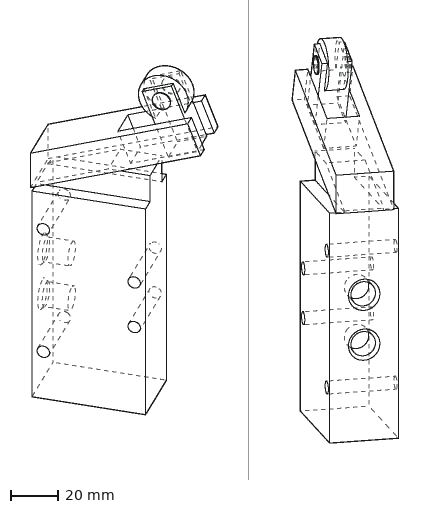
import cadquery as cq
import math

HOUSING_LENGTH = 50.0
HOUSING_WIDTH = 30.0
HOUSING_HEIGHT = 101.0

MOUNT_DIAMETER = 5.5
MOUNT_EDGE = 5.0
OUTER_MOUNT_HEIGHTS = (23.0, 83.0)

PORT_HEIGHTS = (42.2, 64.0)
PORT_DIAMETER = 10.6
PORT_MOUTH_DIAMETER = 13.7
PORT_CHAMFER = (PORT_MOUTH_DIAMETER - PORT_DIAMETER) / 2
PORT_DEPTH = 12.9

LEVER_ANGLE = 21.0
LEVER_WIDTH = 25.1
LEVER_THICKNESS = 15.8
LEVER_OVERHANG = 1.5
LEVER_REACH = 75.0
WEDGE_TOP = 113.7
WEDGE_WIDTH = 17.0

SLOT_WIDTH = 14.2
SLOT_START = 35.4

TOTAL_HEIGHT = 161.0
ROLLER_DIAMETER = 22.0
ROLLER_WIDTH = 8.4
ROLLER_X = 54.5
ROLLER_Z = TOTAL_HEIGHT - ROLLER_DIAMETER / 2
PIN_DIAMETER = 8.0
PIN_LENGTH = SLOT_WIDTH
HOLDER_LENGTH = 13.8
HOLDER_WIDTH = 13.2
HOLDER_HEIGHT = 32.2
HOLDER_ABOVE_PIN = 6.0

SIN = math.sin(math.radians(LEVER_ANGLE))
COS = math.cos(math.radians(LEVER_ANGLE))
SLOPE = SIN / COS


def extrude_across(sketch, width):
    """Extrude an XZ sketch symmetrically about Y = 0."""
    return sketch.extrude(width / 2, both=True)


def lever_bottom(x):
    """Height of the lever's underside at x."""
    return HOUSING_HEIGHT + (x + LEVER_OVERHANG) * SLOPE


def lever_top(x):
    """Height of the lever's upper face at x."""
    return lever_bottom(x) + LEVER_THICKNESS / COS


def make_lever():
    left = -LEVER_OVERHANG
    right = left + LEVER_REACH
    top_right = right - LEVER_THICKNESS * SIN
    outline = cq.Workplane("XZ").polyline([
        (left, lever_bottom(left)),
        (right, lever_bottom(right)),
        (top_right, lever_top(top_right)),
        (left, lever_top(left)),
    ]).close()
    lever = extrude_across(outline, LEVER_WIDTH)

    slot = (
        cq.Workplane("XY")
        .box(LEVER_REACH, SLOT_WIDTH, 2 * LEVER_THICKNESS, centered=(False, True, True))
        .rotate((0, 0, 0), (0, 1, 0), -LEVER_ANGLE)
        .translate((SLOT_START, 0, lever_top(SLOT_START)))
    )
    return lever.cut(slot)


def make_wedge():
    wedge_top_start = (WEDGE_TOP - HOUSING_HEIGHT) / SLOPE - LEVER_OVERHANG
    outline = cq.Workplane("XZ").polyline([
        (0, HOUSING_HEIGHT),
        (HOUSING_LENGTH, HOUSING_HEIGHT),
        (HOUSING_LENGTH, WEDGE_TOP),
        (wedge_top_start, WEDGE_TOP),
        (0, lever_bottom(0)),
    ]).close()
    return extrude_across(outline, WEDGE_WIDTH)


def make_ports():
    places = [(0, z) for z in PORT_HEIGHTS]
    bores = cq.Workplane("YZ").pushPoints(places).circle(PORT_DIAMETER / 2).extrude(PORT_DEPTH)
    for z in PORT_HEIGHTS:
        mouth = cq.Solid.makeCone(
            PORT_MOUTH_DIAMETER / 2, PORT_DIAMETER / 2, PORT_CHAMFER,
            pnt=cq.Vector(0, 0, z), dir=cq.Vector(1, 0, 0),
        )
        bores = bores.union(cq.Workplane(mouth))
    return bores


def make_mounting_holes():
    places = [(MOUNT_EDGE, z) for z in OUTER_MOUNT_HEIGHTS]
    places += [(HOUSING_LENGTH - MOUNT_EDGE, z) for z in PORT_HEIGHTS]
    circles = cq.Workplane("XZ").pushPoints(places).circle(MOUNT_DIAMETER / 2)
    return extrude_across(circles, HOUSING_WIDTH)


def make_valve():
    """Housing, wedge and lever in one piece."""
    housing = cq.Workplane("XY").box(
        HOUSING_LENGTH, HOUSING_WIDTH, HOUSING_HEIGHT, centered=(False, True, False)
    )
    housing = housing.cut(make_mounting_holes()).cut(make_ports())
    return housing.union(make_wedge()).union(make_lever())


def make_roller_unit():
    """Holder block, roller and pin in one piece, clear of the lever's slot walls."""
    holder = (
        cq.Workplane("XY")
        .box(HOLDER_LENGTH, HOLDER_WIDTH, HOLDER_HEIGHT)
        .translate((0, 0, HOLDER_ABOVE_PIN - HOLDER_HEIGHT / 2))
        .rotate((0, 0, 0), (0, 1, 0), -LEVER_ANGLE)
        .translate((ROLLER_X, 0, ROLLER_Z))
    )
    axis = cq.Workplane("XZ").center(ROLLER_X, ROLLER_Z)
    roller = extrude_across(axis.circle(ROLLER_DIAMETER / 2), ROLLER_WIDTH)
    pin = extrude_across(axis.circle(PIN_DIAMETER / 2), PIN_LENGTH)
    return holder.union(roller).union(pin)


valve = make_valve()
roller_unit = make_roller_unit()

result = cq.Compound.makeCompound([valve.val(), roller_unit.val()])